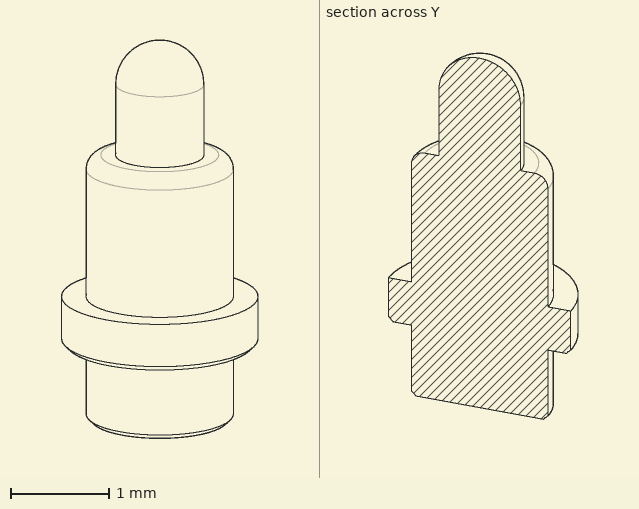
import cadquery as cq

flange_diameter = 2.0
barrel_diameter = 1.5
barrel_top_flat_diameter = 1.2
plunger_diameter = 0.9

flange_bottom = 0.8
flange_top = 1.3
barrel_top = 2.8
overall_height = 4.0

edge_chamfer = 0.05
barrel_fillet = (barrel_diameter - barrel_top_flat_diameter) / 2


def cylinder(diameter, bottom, top):
    """Return an upright cylinder on the Z axis between two heights."""
    return cq.Workplane("XY").workplane(offset=bottom).circle(diameter / 2).extrude(top - bottom)


barrel = cylinder(barrel_diameter, 0, barrel_top)
barrel = barrel.faces("<Z").edges().chamfer(edge_chamfer)
barrel = barrel.faces(">Z").edges().fillet(barrel_fillet)

flange = cylinder(flange_diameter, flange_bottom, flange_top)
flange = flange.faces("<Z").edges().chamfer(edge_chamfer)

tip_radius = plunger_diameter / 2
tip_center = overall_height - tip_radius
plunger = cylinder(plunger_diameter, flange_top, tip_center)
tip = cq.Workplane("XY").sphere(tip_radius).translate((0, 0, tip_center))

result = barrel.union(flange).union(plunger).union(tip)